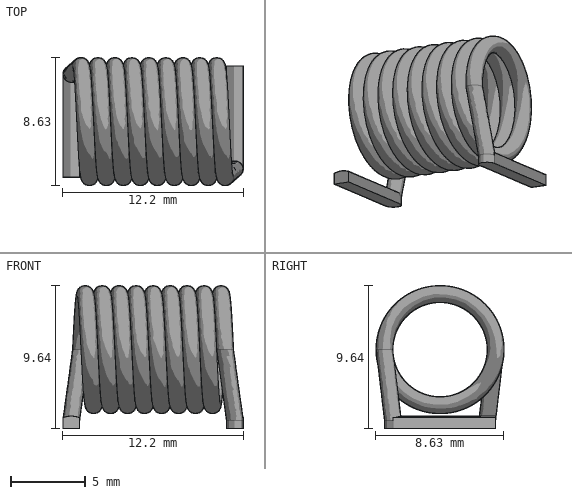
import cadquery as cq

length = 12.16
height = 9.64
coil_diameter = 8.63
wire_diameter = 1.13
turns = 8.5
pitch = 1.14
foot_length = 7.49
foot_width = 1.14
foot_side_height = 0.74
foot_crown_height = 0.85
leg_base_height = 0.57

wire_radius = wire_diameter / 2
coil_radius = coil_diameter / 2 - wire_radius
coil_length = turns * pitch
axis_height = height - coil_diameter / 2
heel_radius = foot_width / 2
foot_x = -length / 2 + heel_radius
heel_y = foot_length / 2 - heel_radius
toe_y = -foot_length / 2


def make_coil():
    """Helix about X, from the +Y side at -X, over the top, to the -Y side at +X."""
    path = cq.Wire.makeHelix(pitch, coil_length, coil_radius)
    coil = (
        cq.Workplane("XZ")
        .center(coil_radius, 0)
        .circle(wire_radius)
        .sweep(cq.Workplane(obj=path), isFrenet=True)
    )
    coil = coil.rotate((0, 0, 0), (1, 1, 1), 120)
    return coil.translate((-coil_length / 2, 0, axis_height))


def make_leg():
    """Slanted round leg from the heel of the foot up to the start of the wire."""
    return (
        cq.Workplane("XY", origin=(foot_x, heel_y, leg_base_height))
        .circle(heel_radius)
        .workplane(offset=axis_height - leg_base_height)
        .center(-coil_length / 2 - foot_x, coil_radius - heel_y)
        .circle(wire_radius)
        .loft(ruled=True)
    )


def make_foot():
    """Flat-bottomed bar along Y with an arched top and a round heel."""
    bar = (
        cq.Workplane("XZ", origin=(foot_x, heel_y, 0))
        .moveTo(-heel_radius, 0)
        .lineTo(heel_radius, 0)
        .lineTo(heel_radius, foot_side_height)
        .threePointArc((0, foot_crown_height), (-heel_radius, foot_side_height))
        .close()
        .extrude(heel_y - toe_y)
    )
    heel = cq.Workplane("XY", origin=(foot_x, heel_y, 0)).circle(heel_radius).extrude(leg_base_height)
    return bar.union(heel)


terminal = make_foot().union(make_leg())
opposite_terminal = terminal.rotate((0, 0, 0), (0, 0, 1), 180)

result = make_coil().union(terminal).union(opposite_terminal)